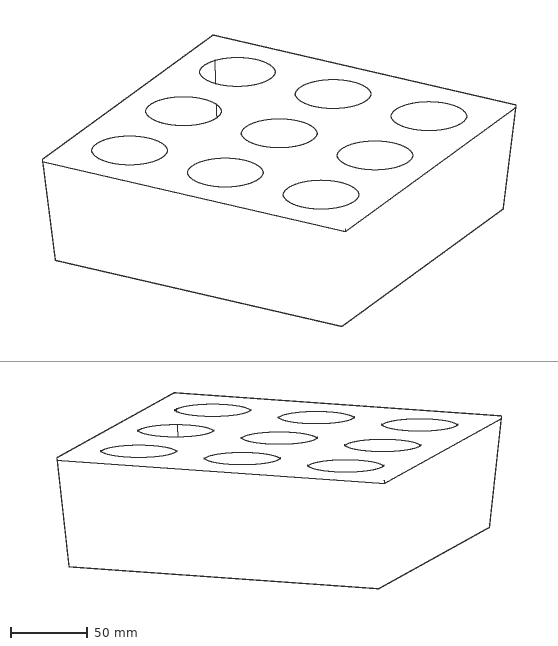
import cadquery as cq

outer_width = 228.0
total_height = 74.0
lid_thickness = 2.0
tray_height = total_height - lid_thickness

base_width = 216.0
wall_thickness = 2.0
floor_thickness = wall_thickness
tray_edge_radius = 0.5
wall_slope = (outer_width - base_width) / 2 / tray_height
rim_width = outer_width + 2 * wall_slope * tray_edge_radius

holes_per_side = 3
hole_diameter = 50.0
hole_pitch = 72.0
hole_edge_radius = 0.5
lid_edge_radius = 0.2


def square_frustum(lower_width, upper_width, bottom, top):
    """Square block whose sides slope evenly from the lower to the upper width."""
    return (
        cq.Workplane("XY", origin=(0, 0, bottom))
        .rect(lower_width, lower_width)
        .workplane(offset=top - bottom)
        .rect(upper_width, upper_width)
        .loft(ruled=True)
    )


def make_tray():
    """Open-topped tray with sloping walls, a flat floor and rounded outer edges."""
    outside = square_frustum(base_width, rim_width, 0, tray_height).edges().fillet(tray_edge_radius)
    cavity_floor_width = base_width + 2 * (wall_slope * floor_thickness - wall_thickness)
    cavity_rim_width = rim_width - 2 * wall_thickness
    cavity = square_frustum(cavity_floor_width, cavity_rim_width, floor_thickness, tray_height)
    return outside.cut(cavity)


def make_lid():
    """Flat square plate on the tray rim, rounded along its border and around its openings."""
    plate = (
        cq.Workplane("XY", origin=(0, 0, tray_height))
        .rect(outer_width, outer_width)
        .extrude(lid_thickness)
        .faces("<Z or >Z")
        .edges()
        .fillet(lid_edge_radius)
    )
    openings = (
        cq.Workplane("XY", origin=(0, 0, tray_height))
        .rarray(hole_pitch, hole_pitch, holes_per_side, holes_per_side)
        .circle(hole_diameter / 2)
        .extrude(lid_thickness)
    )
    return plate.cut(openings).edges("%CIRCLE").edges("<Z or >Z").fillet(hole_edge_radius)


tray = make_tray()
lid = make_lid()
result = cq.Compound.makeCompound([tray.val(), lid.val()])